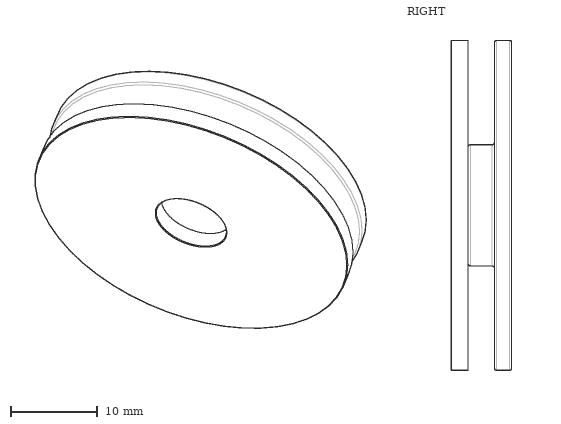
import cadquery as cq

flange_diameter = 38.0
flange_thickness = 1.98
overall_width = 7.0
hub_diameter = 14.0
bore_diameter = 8.5

spool_rim_fillet = 0.23
hub_root_fillet = 0.3
hub_end_fillet = 0.3
plate_edge_chamfer = 0.1

front_face = -overall_width / 2
plate_inner_face = front_face + flange_thickness
back_face = overall_width / 2
flange_inner_face = back_face - flange_thickness


def disc(diameter, y_start, y_end):
    """Solid cylinder on the Y axis between two Y stations."""
    plane = cq.Workplane("XZ", origin=(0, y_start, 0))
    return plane.circle(diameter / 2).extrude(y_start - y_end)


def make_bore():
    """Cutter for the bore that passes through both bodies."""
    return disc(bore_diameter, front_face, back_face)


def make_spool():
    """Back flange with a hub that reaches forward to the plate."""
    flange = disc(flange_diameter, flange_inner_face, back_face)
    flange = flange.edges().fillet(spool_rim_fillet)
    hub = disc(hub_diameter, plate_inner_face, flange_inner_face)
    hub = hub.faces("<Y").edges().fillet(hub_end_fillet)
    spool = flange.union(hub)
    flange_inner_face_edges = spool.faces("|Y").faces(">Y[1]").edges()
    root_edge = flange_inner_face_edges.edges(cq.selectors.RadiusNthSelector(0))
    return root_edge.fillet(hub_root_fillet).cut(make_bore())


def make_plate():
    """Front flange plate with rim and bore edges broken on its outer face."""
    plate = disc(flange_diameter, front_face, plate_inner_face).cut(make_bore())
    return plate.faces("<Y").edges().chamfer(plate_edge_chamfer)


spool = make_spool()
plate = make_plate()

result = cq.Compound.makeCompound([spool.val(), plate.val()])